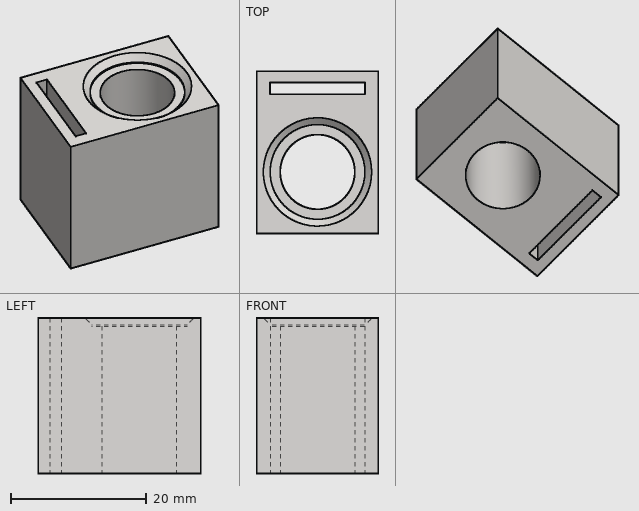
import cadquery as cq

width = 18.0
length = 24.0
height = 23.0

bore_y = 9.1
bore_diameter = 11.0
seat_diameter = 14.0
rim_diameter = 16.0
cone_depth = (rim_diameter - seat_diameter) / 2
seat_wall = 0.2
seat_depth = cone_depth + seat_wall

slot_width = seat_diameter
slot_thickness = 1.7
slot_back_wall = slot_thickness
slot_y = length - slot_back_wall - slot_thickness / 2


def make_block():
    return cq.Workplane("XY").box(width, length, height, centered=(True, False, False))


def make_bore():
    """Through hole, flat seat and conical lead-in, revolved about the bore axis."""
    seat_z = height - seat_depth
    cone_z = height - cone_depth
    profile = (
        cq.Workplane("XZ")
        .moveTo(0, 0)
        .lineTo(bore_diameter / 2, 0)
        .lineTo(bore_diameter / 2, seat_z)
        .lineTo(seat_diameter / 2, seat_z)
        .lineTo(seat_diameter / 2, cone_z)
        .lineTo(rim_diameter / 2, height)
        .lineTo(0, height)
        .close()
    )
    return profile.revolve(360, (0, 0, 0), (0, 1, 0)).translate((0, bore_y, 0))


def make_slot():
    slot = cq.Workplane("XY").box(slot_width, slot_thickness, height, centered=(True, True, False))
    return slot.translate((0, slot_y, 0))


result = make_block().cut(make_bore()).cut(make_slot())